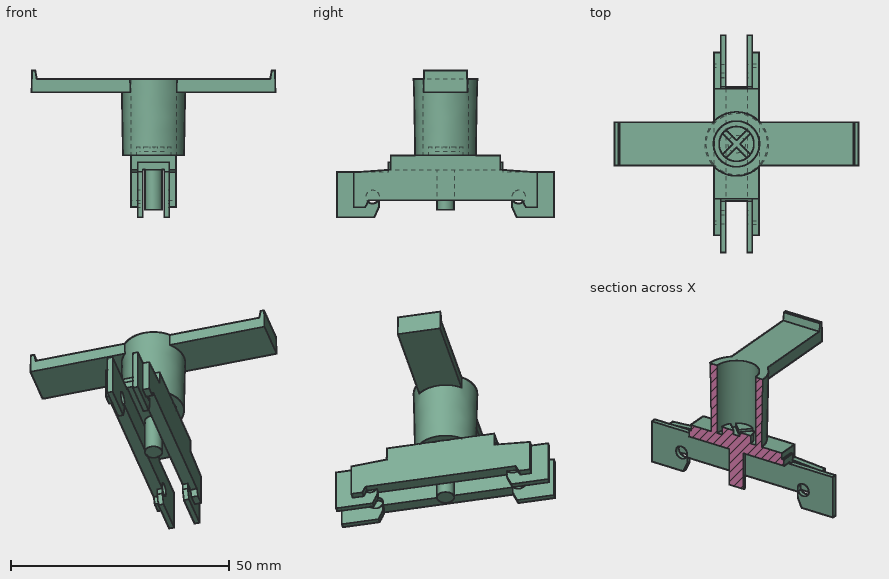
import cadquery as cq

overall_height = 33.7
arm_top = 31.75
arm_bottom = 28.7
housing_top = 14.2
clip_bridge_top = 12.65
clip_bridge_bottom = 10.95
clip_arm_top = 10.45
housing_bottom = 3.88
tongue_bottom = 2.36
screw_tip = 1.7

arm_length = 56.0
arm_width = 9.95
lip_draft = 0.12
lip_top_thickness = 0.8
lip_root_thickness = 1.25

barrel_top_radius = 7.35
barrel_base_radius = 7.03
bore_radius = 5.25

screw_head_radius = 4.0
screw_head_height = 2.0
screw_shank_radius = 2.0
recess_width = 1.15
recess_depth = 1.0

housing_width = 10.35
housing_half_length = 12.6
tongue_half_length = 21.0
tongue_root_top = 10.97
tongue_end_top = 10.35
tongue_heel_y = 18.4
tongue_throat_y = 17.6

clip_width = 7.3
clip_gap = 4.85
clip_half_length = 49.87 / 2
clip_bridge_half_length = 13.1
hook_tip_y = 15.25
hook_toe_y = 16.3
hook_toe_rise = tongue_bottom
scoop_y = 16.75
scoop_radius = 1.55
scoop_bottom = 3.2


def box_between(width, half_length, bottom, top):
    """Box centred on X and Y, spanning two heights."""
    return (
        cq.Workplane("XY", origin=(0, 0, bottom))
        .rect(width, 2 * half_length)
        .extrude(top - bottom)
    )


def symmetric_profile(plane, half_points, width):
    """Extrude an outline, given by its positive half, mirrored about the Z axis."""
    mirrored = [(-across, height) for across, height in reversed(half_points)]
    return cq.Workplane(plane).polyline(half_points + mirrored).close().extrude(width / 2, both=True)


def cylinder(radius, bottom, top):
    return cq.Workplane("XY", origin=(0, 0, bottom)).circle(radius).extrude(top - bottom)


def make_cross_arm():
    end = arm_length / 2
    lip_outer = end - lip_draft
    half_outline = [
        (end, arm_bottom),
        (lip_outer, overall_height),
        (lip_outer - lip_top_thickness, overall_height),
        (end - lip_root_thickness, arm_top),
    ]
    return symmetric_profile("XZ", half_outline, arm_width)


def make_barrel():
    return (
        cq.Workplane("XY", origin=(0, 0, housing_top))
        .circle(barrel_base_radius)
        .workplane(offset=arm_top - housing_top)
        .circle(barrel_top_radius)
        .loft(ruled=True)
    )


def make_housing():
    half_outline = [
        (tongue_throat_y, housing_bottom),
        (tongue_heel_y, tongue_bottom),
        (tongue_half_length, tongue_bottom),
        (tongue_half_length, tongue_end_top),
        (housing_half_length, tongue_root_top),
        (housing_half_length, housing_top),
    ]
    body = symmetric_profile("YZ", half_outline, housing_width)
    channel = box_between(clip_width, tongue_half_length, tongue_bottom, clip_bridge_top)
    return body.cut(channel)


def make_clip():
    half_outline = [
        (hook_tip_y, housing_bottom),
        (hook_tip_y, hook_toe_rise),
        (hook_toe_y, 0),
        (clip_half_length, 0),
        (clip_half_length, clip_arm_top),
        (clip_bridge_half_length, clip_arm_top),
        (clip_bridge_half_length, clip_bridge_top),
    ]
    clip = symmetric_profile("YZ", half_outline, clip_width)
    scoops = (
        cq.Workplane("YZ")
        .pushPoints([(side * scoop_y, scoop_bottom + scoop_radius) for side in (-1, 1)])
        .circle(scoop_radius)
        .extrude(clip_width / 2, both=True)
    )
    gap = box_between(clip_gap, clip_half_length, 0, clip_bridge_bottom)
    return clip.cut(scoops).cut(gap)


def make_screw():
    head_top = housing_top + screw_head_height
    screw = cylinder(screw_head_radius, housing_top, head_top)
    screw = screw.union(cylinder(screw_shank_radius, screw_tip, housing_top))
    slot = box_between(recess_width, screw_head_radius, head_top - recess_depth, head_top)
    for angle in (-45, 45):
        screw = screw.cut(slot.rotate((0, 0, 0), (0, 0, 1), angle))
    return screw


upper_body = make_barrel().union(make_cross_arm())
upper_body = upper_body.cut(cylinder(bore_radius, housing_top, arm_top))

result = upper_body.union(make_housing()).union(make_clip()).union(make_screw())